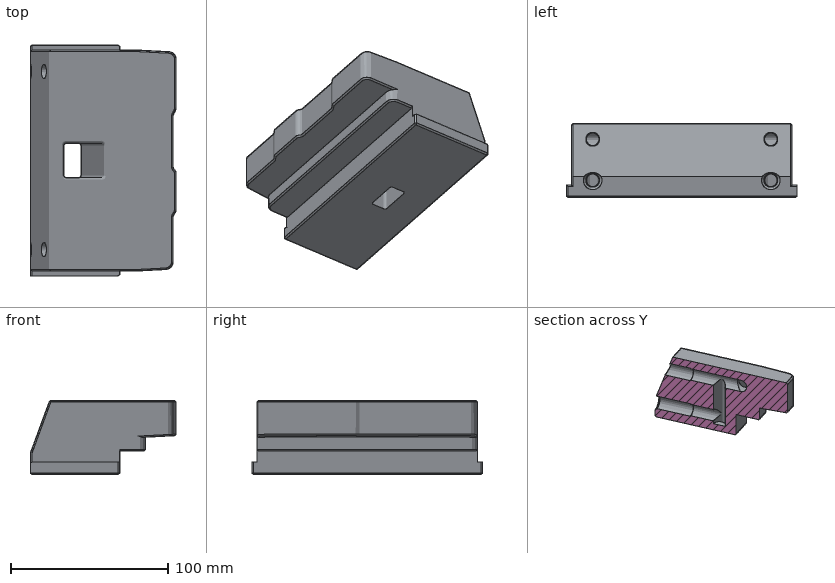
import cadquery as cq
import math

LENGTH_X = 92.92
FLANGE_WIDTH = 147.01
HEIGHT = 47.0

EDGE = 1.0

BASE_LENGTH = 57.0
FLANGE_HEIGHT = 8.0

BODY_WIDTH = 140.6
MID_LENGTH = 73.4
MID_BOTTOM = 15.0
MID_CORNER_RADIUS = 5.5

TAPER_START = 68.7
TAPER_ANGLE = 3.0
NOSE_END_BOTTOM = 24.7
NOSE_CORNER_RADIUS = 5.0

PAD_HEIGHT = 2.0
UPPER_PAD_TOP = 32.8
UPPER_PAD_FOOT = 28.8
LOWER_PAD_TOP = -7.0
LOWER_PAD_TOP_FOOT = -5.0
LOWER_PAD_BOTTOM = -32.0
LOWER_PAD_BOTTOM_FOOT = -35.4
PAD_CORNER_RADIUS = 3.0

SLOPE_START = 13.4
SLOPE_ANGLE = 20.2
SLOPE_TOP_RADIUS = 1.4

WINDOW_NEAR = 21.4
WINDOW_FAR_BOTTOM = 32.3
WINDOW_FAR_TOP = 47.4
WINDOW_WIDTH = 21.8
WINDOW_CORNER_RADIUS = 1.6
WINDOW_RIM_RADIUS = 1.6

PORT_Y = 56.7
UPPER_PORT_Z = 37.0
LOWER_PORT_Z = 10.9
PORT_DIAMETER = 8.8
CHANNEL_DIAMETER = 8.0
PORT_DEPTH = 25.0
CROSS_CHANNEL_X = 60.0
RISER_X = 45.0
CHANNEL_OVERRUN = 6.0
COUNTERSINK_DIAMETER = 11.8

HALF_BODY = BODY_WIDTH / 2
HALF_FLANGE = FLANGE_WIDTH / 2
TAPER = math.tan(math.radians(TAPER_ANGLE))
SLOPE_RUN = math.tan(math.radians(SLOPE_ANGLE))
SLOPE_TOP_X = (HEIGHT - SLOPE_START) * SLOPE_RUN


def nearest(point):
    """Selector for the edge whose centre lies closest to a point."""
    return cq.selectors.NearestToPointSelector(point)


def make_base():
    """Flanged foot plate with chamfered lower and corner edges."""
    base = cq.Workplane("XY").box(
        BASE_LENGTH, FLANGE_WIDTH, FLANGE_HEIGHT, centered=(False, True, False)
    )
    base = base.edges("|Z and >X").chamfer(EDGE)
    base = base.edges("|Z and <X and >Y").chamfer(EDGE)
    base = base.faces("<Z").edges().chamfer(EDGE)
    return base.faces("<X").edges(">Z").chamfer(EDGE)


def make_lower_body():
    """Straight block between the foot plate and the middle step."""
    return cq.Workplane("XY").workplane(offset=EDGE).box(
        BASE_LENGTH, BODY_WIDTH, HEIGHT / 2, centered=(False, True, False)
    )


def make_middle_step():
    """Step under the nose with rounded far corners."""
    step = (
        cq.Workplane("XY")
        .workplane(offset=MID_BOTTOM)
        .box(MID_LENGTH, BODY_WIDTH, HEIGHT / 2, centered=(False, True, False))
        .edges("|Z and >X")
        .fillet(MID_CORNER_RADIUS)
    )
    return step.faces("<Z").edges("not <X").chamfer(EDGE)


def make_nose():
    """Top slab with tapered sides, end pads and a rising underside."""
    recess_x = LENGTH_X - PAD_HEIGHT
    upper_corner_y = HALF_BODY - (LENGTH_X - TAPER_START) * TAPER
    lower_corner_y = -HALF_BODY + (recess_x - TAPER_START) * TAPER
    slab_bottom = NOSE_END_BOTTOM - LENGTH_X * TAPER
    pad_corners = (
        (recess_x, LOWER_PAD_BOTTOM_FOOT),
        (LENGTH_X, LOWER_PAD_BOTTOM),
        (LENGTH_X, LOWER_PAD_TOP),
        (recess_x, LOWER_PAD_TOP_FOOT),
        (recess_x, UPPER_PAD_FOOT),
        (LENGTH_X, UPPER_PAD_TOP),
    )
    outline = [
        (0, -HALF_BODY),
        (TAPER_START, -HALF_BODY),
        (recess_x, lower_corner_y),
        *pad_corners,
        (LENGTH_X, upper_corner_y),
        (TAPER_START, HALF_BODY),
        (0, HALF_BODY),
    ]
    nose = (
        cq.Workplane("XY")
        .workplane(offset=slab_bottom)
        .polyline(outline)
        .close()
        .extrude(HEIGHT - slab_bottom)
    )
    for corner in ((recess_x, lower_corner_y), (LENGTH_X, upper_corner_y)):
        at_corner = nearest((*corner, HEIGHT / 2))
        nose = nose.edges("|Z").edges(at_corner).fillet(NOSE_CORNER_RADIUS)
    for corner in pad_corners:
        at_corner = nearest((*corner, HEIGHT / 2))
        nose = nose.edges("|Z").edges(at_corner).fillet(PAD_CORNER_RADIUS)
    underside = (
        cq.Workplane("XZ")
        .moveTo(0, slab_bottom)
        .lineTo(LENGTH_X, NOSE_END_BOTTOM)
        .lineTo(LENGTH_X, slab_bottom)
        .close()
        .extrude(HALF_BODY, both=True)
    )
    nose = nose.cut(underside)
    nose = nose.faces("<Z").edges("not <X").chamfer(EDGE)
    return nose.faces(">Z").edges("not <X").chamfer(EDGE)


def lean_front_face(body):
    """Slope the front face back, then soften its side and top edges."""
    wedge = (
        cq.Workplane("XZ")
        .moveTo(0, SLOPE_START)
        .lineTo(SLOPE_TOP_X, HEIGHT)
        .lineTo(0, HEIGHT)
        .close()
        .extrude(HALF_FLANGE, both=True)
    )
    body = body.cut(wedge)
    for side in (-HALF_BODY, HALF_BODY):
        slope_edge = nearest((SLOPE_TOP_X / 2, side, (SLOPE_START + HEIGHT) / 2))
        upright_edge = nearest((0, side, SLOPE_START / 2))
        body = body.edges(slope_edge).add(body.edges(upright_edge)).chamfer(EDGE)
    return body.edges(nearest((SLOPE_TOP_X, 0, HEIGHT))).fillet(SLOPE_TOP_RADIUS)


def cut_window(body):
    """Cut the window: upright near wall, leaning far wall, rounded corners and rim."""
    opening = (
        cq.Workplane("XZ")
        .moveTo(WINDOW_NEAR, 0)
        .lineTo(WINDOW_FAR_BOTTOM, 0)
        .lineTo(WINDOW_FAR_TOP, HEIGHT)
        .lineTo(WINDOW_NEAR, HEIGHT)
        .close()
        .extrude(WINDOW_WIDTH / 2, both=True)
    )
    for side in (-WINDOW_WIDTH / 2, WINDOW_WIDTH / 2):
        for wall_x in (WINDOW_NEAR, (WINDOW_FAR_BOTTOM + WINDOW_FAR_TOP) / 2):
            corner = nearest((wall_x, side, HEIGHT / 2))
            opening = opening.edges(corner).fillet(WINDOW_CORNER_RADIUS)
    rim_box = cq.selectors.BoxSelector(
        (WINDOW_NEAR - EDGE, -WINDOW_WIDTH, HEIGHT - EDGE),
        (WINDOW_FAR_TOP + EDGE, WINDOW_WIDTH, HEIGHT + EDGE),
    )
    return body.cut(opening).edges(rim_box).fillet(WINDOW_RIM_RADIUS)


def bore(start, direction, diameter, length):
    """Cylindrical cutter from a start point along a direction."""
    cylinder = cq.Solid.makeCylinder(diameter / 2, length, cq.Vector(*start), cq.Vector(*direction))
    return cq.Workplane(cylinder)


def countersink(port_y):
    """Conical cutter that opens the mouth of a lower port at 45 degrees."""
    mouth_radius = COUNTERSINK_DIAMETER / 2
    port_radius = PORT_DIAMETER / 2
    cone = cq.Solid.makeCone(
        mouth_radius,
        port_radius,
        mouth_radius - port_radius,
        cq.Vector(0, port_y, LOWER_PORT_Z),
        cq.Vector(1, 0, 0),
    )
    return cq.Workplane(cone)


def cut_channels(body):
    """Drill the four ports, the risers between them and the cross channel."""
    riser_length = UPPER_PORT_Z - LOWER_PORT_Z + CHANNEL_OVERRUN
    for port_y in (-PORT_Y, PORT_Y):
        lower_mouth = (0, port_y, LOWER_PORT_Z)
        upper_mouth = (0, port_y, UPPER_PORT_Z)
        riser_foot = (RISER_X, port_y, LOWER_PORT_Z - CHANNEL_OVERRUN)
        body = body.cut(countersink(port_y))
        body = body.cut(bore(lower_mouth, (1, 0, 0), PORT_DIAMETER, PORT_DEPTH))
        body = body.cut(bore(upper_mouth, (1, 0, 0), PORT_DIAMETER, PORT_DEPTH))
        body = body.cut(bore(lower_mouth, (1, 0, 0), CHANNEL_DIAMETER, RISER_X))
        body = body.cut(bore(upper_mouth, (1, 0, 0), CHANNEL_DIAMETER, CROSS_CHANNEL_X))
        body = body.cut(bore(riser_foot, (0, 0, 1), CHANNEL_DIAMETER, riser_length))
    cross_reach = PORT_Y + CHANNEL_OVERRUN
    cross_start = (CROSS_CHANNEL_X, -cross_reach, UPPER_PORT_Z)
    return body.cut(bore(cross_start, (0, 1, 0), CHANNEL_DIAMETER, 2 * cross_reach))


body = make_lower_body().union(make_middle_step()).union(make_nose())
body = lean_front_face(body)
body = body.union(make_base())
body = cut_window(body)
result = cut_channels(body)